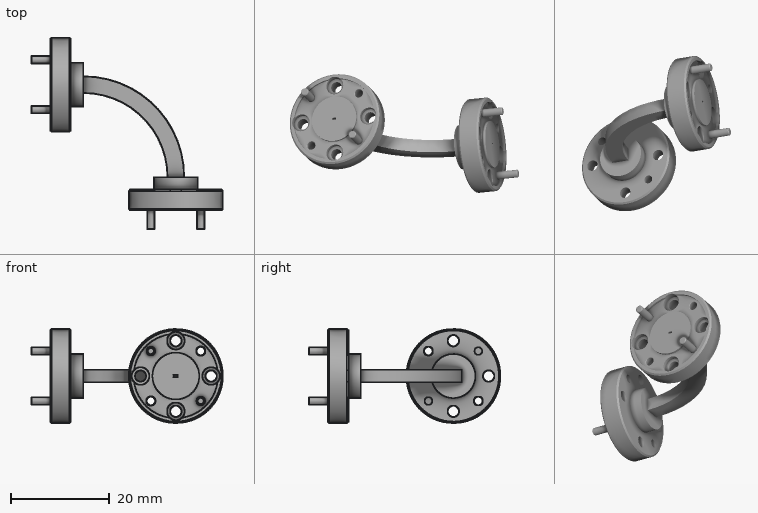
import cadquery as cq
import math

overall_length = 38.8

flange_diameter = 19.05
flange_thickness = 4.23
flange_chamfer = 0.3

land_diameter = 9.45
rim_inner_diameter = 17.07
recess_depth = 0.5

collar_diameter = 8.92
collar_length = 2.52

bolt_circle_radius = 7.15
screw_hole_angles = (0, 90, 180, 270)
screw_hole_diameter = 2.25
counterbore_diameter = 3.57
counterbore_depth = 1.5
dowel_hole_diameter = 1.7
dowel_countersink_diameter = 1.9
dowel_hole_angles = (45, 225)

pin_diameter = 1.55
pin_projection = 3.85
pin_chamfer = 0.15
pin_countersink_diameter = 1.75
pin_angles = (135, 315)

guide_width = 3.4
guide_height = 2.6
channel_width = 0.85
channel_height = 0.43

collar_to_pin_tip = collar_length + flange_thickness + pin_projection
bend_radius = overall_length - flange_diameter / 2 - collar_to_pin_tip
face_distance = collar_length + flange_thickness

front_face = cq.Plane(origin=(bend_radius, -face_distance, 0), xDir=(1, 0, 0), normal=(0, -1, 0))
left_face = cq.Plane(origin=(-face_distance, bend_radius, 0), xDir=(0, -1, 0), normal=(-1, 0, 0))
mating_faces = (front_face, left_face)


def bolt_circle_points(angles):
    """Points on the bolt circle at the given angles in degrees."""
    return [
        (
            bolt_circle_radius * math.cos(math.radians(angle)),
            bolt_circle_radius * math.sin(math.radians(angle)),
        )
        for angle in angles
    ]


def make_flange(face):
    """Flange disc with its collar; the mating face lies on the given plane."""
    flange = (
        cq.Workplane(face)
        .circle(flange_diameter / 2)
        .extrude(-flange_thickness)
        .edges()
        .chamfer(flange_chamfer)
    )
    collar = (
        cq.Workplane(face)
        .workplane(offset=-flange_thickness)
        .circle(collar_diameter / 2)
        .extrude(-collar_length)
    )
    recess = (
        cq.Workplane(face)
        .circle(rim_inner_diameter / 2)
        .circle(land_diameter / 2)
        .extrude(-recess_depth)
    )
    return flange.union(collar).cut(recess)


def cut_countersunk_holes(body, face, angles, diameter, countersink_diameter):
    """Cut through holes with 45 degree countersinks at the recess floor."""
    points = bolt_circle_points(angles)
    holes = cq.Workplane(face).pushPoints(points).circle(diameter / 2).extrude(-flange_thickness)
    countersinks = (
        cq.Workplane(face)
        .workplane(offset=-recess_depth)
        .pushPoints(points)
        .circle(countersink_diameter / 2)
        .extrude(-(countersink_diameter - diameter) / 2, taper=45)
    )
    return body.cut(holes).cut(countersinks)


def cut_flange_holes(body, face):
    """Cut the screw holes, the open dowel holes and the pin holes of one flange."""
    screw_points = bolt_circle_points(screw_hole_angles)
    screw_holes = (
        cq.Workplane(face)
        .pushPoints(screw_points)
        .circle(screw_hole_diameter / 2)
        .extrude(-flange_thickness)
    )
    counterbores = (
        cq.Workplane(face)
        .pushPoints(screw_points)
        .circle(counterbore_diameter / 2)
        .extrude(-counterbore_depth)
    )
    body = body.cut(screw_holes).cut(counterbores)
    body = cut_countersunk_holes(
        body, face, dowel_hole_angles, dowel_hole_diameter, dowel_countersink_diameter
    )
    return cut_countersunk_holes(body, face, pin_angles, pin_diameter, pin_countersink_diameter)


def make_bend(width, height):
    """Rectangular bar swept through the quarter-circle bend."""
    return (
        cq.Workplane("XZ")
        .center(bend_radius, 0)
        .rect(width, height)
        .revolve(90, (-bend_radius, 0), (-bend_radius, 1))
    )


def make_channel():
    """Rectangular channel running from one mating face to the other."""
    channel = make_bend(channel_width, channel_height)
    for face in mating_faces:
        straight = cq.Workplane(face).rect(channel_width, channel_height).extrude(-face_distance)
        channel = channel.union(straight)
    return channel


def make_waveguide():
    """Curved guide in one piece with a flange at each end."""
    body = make_bend(guide_width, guide_height)
    for face in mating_faces:
        body = body.union(make_flange(face))
    for face in mating_faces:
        body = cut_flange_holes(body, face)
    return body.cut(make_channel())


def make_pin(face, point):
    """Dowel pin filling its hole and standing out of the mating face."""
    return (
        cq.Workplane(face)
        .workplane(offset=-flange_thickness)
        .center(*point)
        .circle(pin_diameter / 2)
        .extrude(flange_thickness + pin_projection)
        .faces(cq.selectors.DirectionMinMaxSelector(face.zDir, True))
        .chamfer(pin_chamfer)
    )


waveguide = make_waveguide()

pins = []
for mating_face in mating_faces:
    for pin_point in bolt_circle_points(pin_angles):
        pins.append(make_pin(mating_face, pin_point).val())

result = cq.Compound.makeCompound([waveguide.val(), *pins])